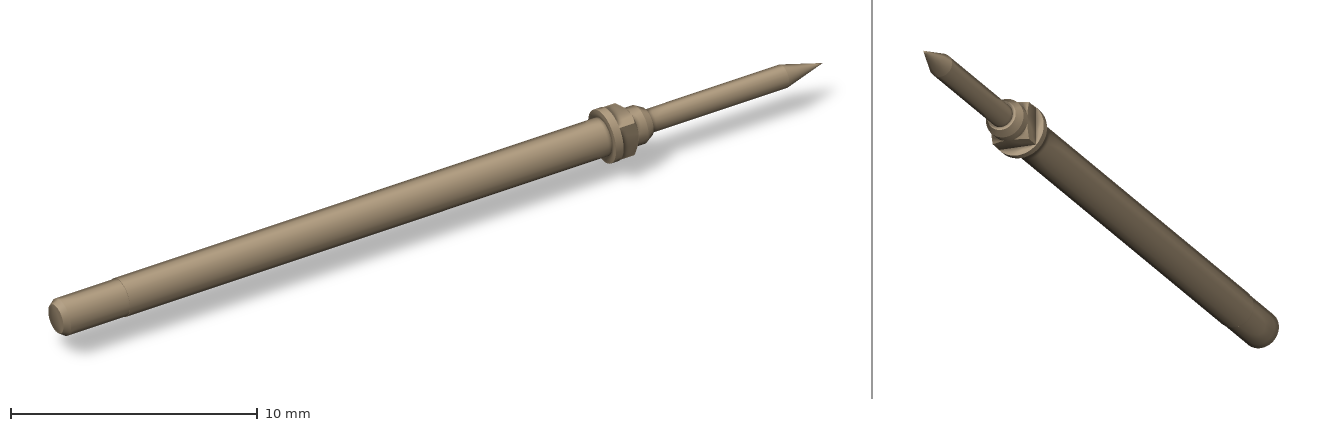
import cadquery as cq

total_length = 35.8
tip_y = total_length / 2
tail_y = -total_length / 2

point_length = 1.85
needle_end = 8.25
collar_start = 8.6
square_start = 9.05
flange_start = 9.95
flange_end = 10.3
tail_start = 32.8

needle_diameter = 1.0
body_diameter = 1.65
flange_diameter = 2.3
square_width = 1.6
tail_diameter = 1.6

end_face_diameter = 1.25
tail_bevel_length = 0.25
square_bevel_length = 0.2


def station(distance_from_tip):
    """Y coordinate at a given distance from the needle tip."""
    return tip_y - distance_from_tip


def revolve_about_y(profile):
    """Revolve (radius, y) points, starting and ending on the axis, about the Y axis."""
    return cq.Workplane("XY").polyline(profile).close().revolve(360, (0, 0), (0, 1))


def make_needle_and_collar():
    """Pointed needle with the bevelled round collar behind it."""
    return revolve_about_y([
        (0, tip_y),
        (needle_diameter / 2, station(point_length)),
        (needle_diameter / 2, station(needle_end)),
        (end_face_diameter / 2, station(needle_end)),
        (body_diameter / 2, station(collar_start)),
        (body_diameter / 2, station(square_start)),
        (0, station(square_start)),
    ])


def make_square():
    """Square section ahead of the flange, with a conical bevel on its front corners."""
    length = flange_start - square_start
    block = cq.Workplane("XY").box(square_width, length, square_width)
    block = block.translate((0, station((square_start + flange_start) / 2), 0))
    envelope = revolve_about_y([
        (0, station(square_start)),
        (body_diameter / 2, station(square_start)),
        (flange_diameter / 2, station(square_start + square_bevel_length)),
        (flange_diameter / 2, station(flange_start)),
        (0, station(flange_start)),
    ])
    return block.intersect(envelope)


def make_body():
    """Flange and barrel, ending in a slightly thinner bevelled tail."""
    return revolve_about_y([
        (0, station(flange_start)),
        (flange_diameter / 2, station(flange_start)),
        (flange_diameter / 2, station(flange_end)),
        (body_diameter / 2, station(flange_end)),
        (body_diameter / 2, station(tail_start)),
        (tail_diameter / 2, station(tail_start)),
        (tail_diameter / 2, tail_y + tail_bevel_length),
        (end_face_diameter / 2, tail_y),
        (0, tail_y),
    ])


result = make_needle_and_collar().union(make_square()).union(make_body())